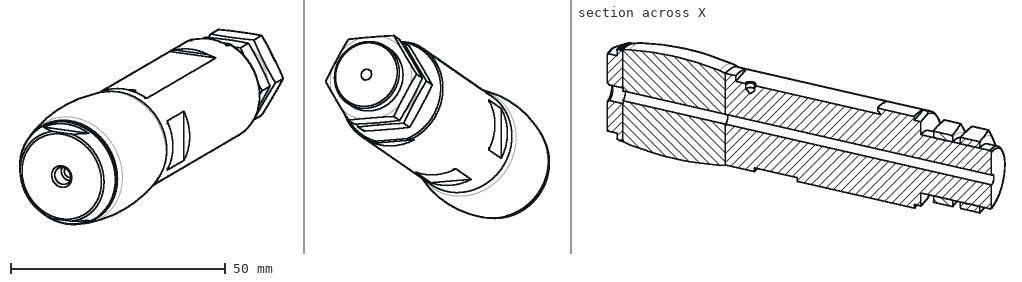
import cadquery as cq
import math


cap_back = 4.0
barrel_back = 30.2
housing_back = 80.0
tail_end = 98.0

bore_diameter = 2.5
cap_hole_diameter = 4.1
cap_hole_mouth_diameter = 5.2

cap_diameter = 24.8
cap_rim_start = 3.0
cap_rim_end = 3.5
cap_neck_diameter = 24.3
cap_nose_diameter = 21.8
cap_face_diameter = 20.6
cap_face_chamfer = 0.2
cap_flat_half_height = 10.6
cap_flat_length = 2.45

barrel_end_diameter = 25.0
barrel_shoulder_diameter = 25.9
barrel_middle_diameter = 27.9
barrel_chamfer = 1.6

housing_diameter = 25.0
housing_chamfer = 0.5
housing_chamfer_depth = 0.4
tail_diameter = 16.0
tail_chamfer = 0.4
flat_distance = 11.0
relief_distance = 11.5
top_flat_start = 32.8
top_flat_end = 68.9
undercut_height = 0.8
undercut_depth = 0.7
side_flat_start = 33.4
side_flat_end = 42.3
bottom_flat_start = 37.5
bottom_flat_end = 48.4
rear_notch_length = 1.7
pin_hole_diameter = 2.1
pin_hole_mouth_diameter = 2.5
pin_hole_depth = 1.5
pin_hole_position = 36.5

nut_width = 19.4
nut_thickness = 5.0
nut_positions = (83.1, 90.0)
nut_outer_face_diameter = 20.0
nut_inner_face_diameter = 18.6
nut_chamfer_angle = 15.0


def turned(profile):
    """Revolve a closed (radius, Y) profile about the Y axis."""
    return profile.close().revolve(360, (0, 0, 0), (0, 1, 0))


def rod(diameter, start, end):
    """Cylinder on the Y axis between two positions."""
    return (
        cq.Workplane("XZ", origin=(0, start, 0))
        .circle(diameter / 2)
        .extrude(start - end)
    )


def block(x_range, y_range, z_range):
    """Box given by its limits along each axis."""
    sizes = [high - low for low, high in (x_range, y_range, z_range)]
    corner = (x_range[0], y_range[0], z_range[0])
    return cq.Workplane("XY").box(*sizes, centered=False).translate(corner)


reach = barrel_middle_diameter
full = (-reach, reach)


def make_cap():
    face_radius = cap_face_diameter / 2
    nose_radius = cap_nose_diameter / 2
    rim_radius = cap_diameter / 2
    neck_radius = cap_neck_diameter / 2

    cap = turned(
        cq.Workplane("XY")
        .moveTo(0, 0)
        .lineTo(face_radius, 0)
        .lineTo(nose_radius, cap_face_chamfer)
        .lineTo(rim_radius, cap_rim_start)
        .lineTo(rim_radius, cap_rim_end)
        .lineTo(neck_radius, cap_rim_end)
        .lineTo(neck_radius, cap_back)
        .lineTo(0, cap_back)
    )
    for z_range in ((cap_flat_half_height, reach), (-reach, -cap_flat_half_height)):
        cap = cap.cut(block(full, (0, cap_flat_length), z_range))

    hole_radius = cap_hole_diameter / 2
    mouth_radius = cap_hole_mouth_diameter / 2
    hole = turned(
        cq.Workplane("XY")
        .moveTo(0, 0)
        .lineTo(mouth_radius, 0)
        .lineTo(hole_radius, mouth_radius - hole_radius)
        .lineTo(hole_radius, cap_back)
        .lineTo(0, cap_back)
    )
    return cap.cut(hole)


def make_barrel():
    end_radius = barrel_end_diameter / 2
    shoulder_radius = barrel_shoulder_diameter / 2
    middle = (barrel_middle_diameter / 2, (cap_back + barrel_back) / 2)
    barrel = turned(
        cq.Workplane("XY")
        .moveTo(0, cap_back)
        .lineTo(end_radius, cap_back)
        .lineTo(shoulder_radius, cap_back + barrel_chamfer)
        .threePointArc(middle, (shoulder_radius, barrel_back - barrel_chamfer))
        .lineTo(end_radius, barrel_back)
        .lineTo(0, barrel_back)
    )
    return barrel.cut(rod(bore_diameter, cap_back, barrel_back))


def top_flat_cutter():
    """Recess above the top flat, with its rear wall undercut at the foot."""
    return (
        cq.Workplane("YZ")
        .moveTo(top_flat_start, flat_distance)
        .lineTo(top_flat_end + undercut_depth, flat_distance)
        .lineTo(top_flat_end, flat_distance + undercut_height)
        .lineTo(top_flat_end, reach)
        .lineTo(top_flat_start, reach)
        .close()
        .extrude(reach, both=True)
    )


def pin_hole_cutter():
    """Blind hole in the top flat, with 45 degree slopes at its mouth and its bottom."""
    radius = pin_hole_diameter / 2
    mouth_radius = pin_hole_mouth_diameter / 2
    return (
        cq.Workplane("XZ")
        .moveTo(0, flat_distance)
        .lineTo(mouth_radius, flat_distance)
        .lineTo(radius, flat_distance - (mouth_radius - radius))
        .lineTo(radius, flat_distance - pin_hole_depth)
        .lineTo(0, flat_distance - pin_hole_depth - radius)
        .close()
        .revolve(360, (0, 0, 0), (0, 1, 0))
        .translate((0, pin_hole_position, 0))
    )


def make_housing():
    radius = housing_diameter / 2
    tail_radius = tail_diameter / 2
    housing = turned(
        cq.Workplane("XY")
        .moveTo(0, barrel_back)
        .lineTo(radius, barrel_back)
        .lineTo(radius, housing_back - housing_chamfer)
        .lineTo(radius - housing_chamfer_depth, housing_back)
        .lineTo(tail_radius, housing_back)
        .lineTo(tail_radius, tail_end - tail_chamfer)
        .lineTo(tail_radius - tail_chamfer, tail_end)
        .lineTo(0, tail_end)
    )
    rear_notch = (housing_back - rear_notch_length, housing_back)
    bottom_flat = (bottom_flat_start, bottom_flat_end)
    side_flat = (side_flat_start, side_flat_end)
    cutters = (
        top_flat_cutter(),
        pin_hole_cutter(),
        block(full, rear_notch, (relief_distance, reach)),
        block(full, rear_notch, (-reach, -relief_distance)),
        block(full, bottom_flat, (-reach, -relief_distance)),
        block((flat_distance, reach), side_flat, full),
        block((-reach, -flat_distance), side_flat, full),
        rod(bore_diameter, barrel_back, tail_end),
    )
    for cutter in cutters:
        housing = housing.cut(cutter)
    return housing


def make_nut():
    """Hexagon nut from Y = 0; the face at the far end has the larger chamfer."""
    corner_radius = nut_width / 2 / math.cos(math.radians(30))
    outer_radius = nut_outer_face_diameter / 2
    inner_radius = nut_inner_face_diameter / 2
    slope = math.tan(math.radians(nut_chamfer_angle))
    hexagon = (
        cq.Workplane("XZ")
        .polygon(6, 2 * corner_radius)
        .extrude(-nut_thickness)
    )
    envelope = turned(
        cq.Workplane("XY")
        .moveTo(0, 0)
        .lineTo(outer_radius, 0)
        .lineTo(corner_radius, (corner_radius - outer_radius) * slope)
        .lineTo(corner_radius, nut_thickness - (corner_radius - inner_radius) * slope)
        .lineTo(inner_radius, nut_thickness)
        .lineTo(0, nut_thickness)
    )
    return hexagon.intersect(envelope).cut(rod(tail_diameter, 0, nut_thickness))


cap = make_cap()
barrel = make_barrel()
housing = make_housing()

nuts = []
for position, turn in zip(nut_positions, (0, 180)):
    centred = make_nut().translate((0, -nut_thickness / 2, 0)).rotate((0, 0, 0), (0, 0, 1), turn)
    nuts.append(centred.translate((0, position + nut_thickness / 2, 0)))

result = cq.Compound.makeCompound(
    [cap.val(), barrel.val(), housing.val(), *[nut.val() for nut in nuts]]
)